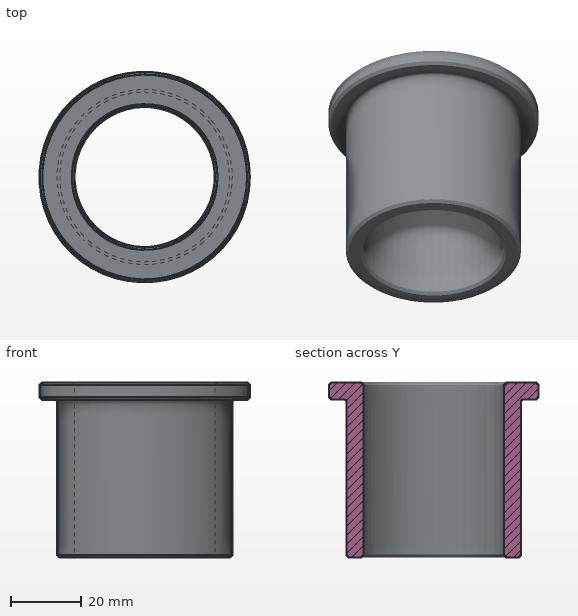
import cadquery as cq

flange_diameter = 60.0
wall_thickness = flange_diameter / 12
edge_chamfer = 0.8
neck_fillet = 0.5

flange_thickness = wall_thickness
body_diameter = flange_diameter - 2 * wall_thickness
bore_diameter = body_diameter - 2 * wall_thickness
total_height = body_diameter

body = cq.Workplane("XY").circle(body_diameter / 2).extrude(total_height)
flange = (
    cq.Workplane("XY")
    .workplane(offset=total_height - flange_thickness)
    .circle(flange_diameter / 2)
    .extrude(flange_thickness)
    .edges()
    .chamfer(edge_chamfer)
)
body = body.faces("<Z").edges().chamfer(edge_chamfer)
sleeve = body.union(flange)

neck_edge = cq.selectors.RadiusNthSelector(0)
flange_underside = sleeve.faces(cq.selectors.NearestToPointSelector(
    (0, 0, total_height - flange_thickness)))
sleeve = flange_underside.edges(neck_edge).fillet(neck_fillet)

bore = cq.Workplane("XY").circle(bore_diameter / 2).extrude(total_height)
result = sleeve.cut(bore)
bore_rims = result.faces("<Z or >Z").edges(cq.selectors.RadiusNthSelector(0))
result = bore_rims.chamfer(edge_chamfer)